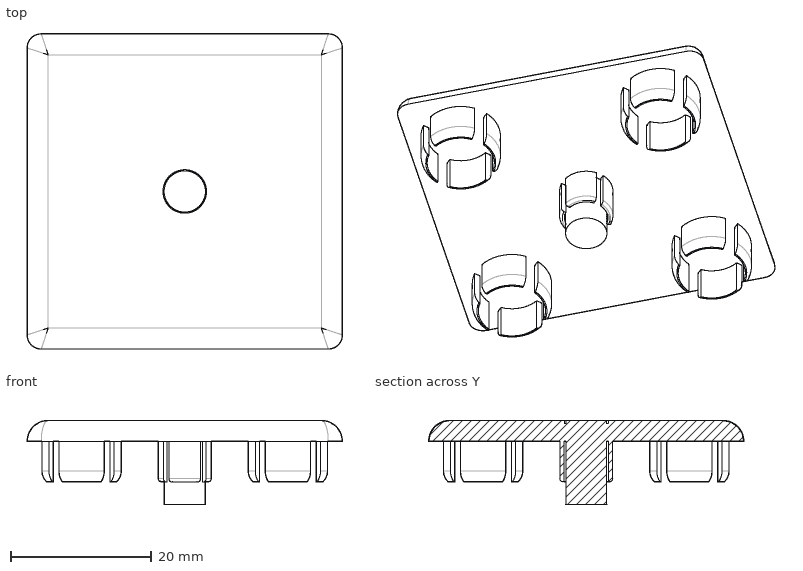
import cadquery as cq
import math

plate_size = 45.0
plate_height = 3.0
plate_corner_radius = 2.02
top_corner_radius = 0.022
rim_sections = 10

collar_length = 5.75
peg_offset = 14.7
peg_diameter = 11.35
peg_tip_diameter = 10.0
peg_bore = 9.6
peg_slit = 2.0
peg_tip_height = 1.55

sleeve_diameter = 7.6
sleeve_tip_diameter = 6.85
sleeve_bore = 6.2
sleeve_slit = 1.12
sleeve_tip_height = 0.5

pin_diameter = 5.9
pin_length = 9.0
groove_depth = 0.45


def rim_section(angle):
    """Rounded square at one angle of the quarter-round rim, as a wire."""
    shrink = math.cos(angle)
    half = plate_size / 2 - plate_height * (1 - shrink)
    radius = max(plate_corner_radius * shrink, top_corner_radius)
    height = plate_height * math.sin(angle)
    square = cq.Workplane("XY", origin=(0, 0, height)).rect(2 * half, 2 * half).val()
    return square.fillet2D(radius, square.Vertices())


def rounded_plate():
    """Plate whose corner radius shrinks to a sharp corner as the rim curves inwards."""
    angles = [math.pi / 2 * i / rim_sections for i in range(rim_sections + 1)]
    return cq.Workplane(cq.Solid.makeLoft([rim_section(angle) for angle in angles]))


def split_collar(diameter, tip_diameter, bore, slit, tip_height):
    """Hanging tube with a rounded lead-in tip, split into four by diagonal slits."""
    collar = (
        cq.Workplane("XZ")
        .moveTo(bore / 2, 0)
        .lineTo(diameter / 2, 0)
        .lineTo(diameter / 2, tip_height - collar_length)
        .tangentArcPoint((tip_diameter / 2, -collar_length), relative=False)
        .lineTo(bore / 2, -collar_length)
        .close()
        .revolve(360, (0, 0, 0), (0, 1, 0))
    )
    for angle in (45, 135):
        slot = cq.Workplane("XY").rect(2 * diameter, slit).extrude(-collar_length)
        collar = collar.cut(slot.rotate((0, 0, 0), (0, 0, 1), angle))
    return collar


result = rounded_plate()

peg = split_collar(peg_diameter, peg_tip_diameter, peg_bore, peg_slit, peg_tip_height)
for x_side in (-1, 1):
    for y_side in (-1, 1):
        result = result.union(peg.translate((x_side * peg_offset, y_side * peg_offset, 0)))

sleeve = split_collar(
    sleeve_diameter, sleeve_tip_diameter, sleeve_bore, sleeve_slit, sleeve_tip_height
)
pin = cq.Workplane("XY").circle(pin_diameter / 2).extrude(-pin_length)
result = result.union(sleeve).union(pin)

groove = (
    cq.Workplane("XY", origin=(0, 0, plate_height))
    .circle(sleeve_bore / 2)
    .circle(pin_diameter / 2)
    .extrude(-groove_depth)
)
result = result.cut(groove).solids()